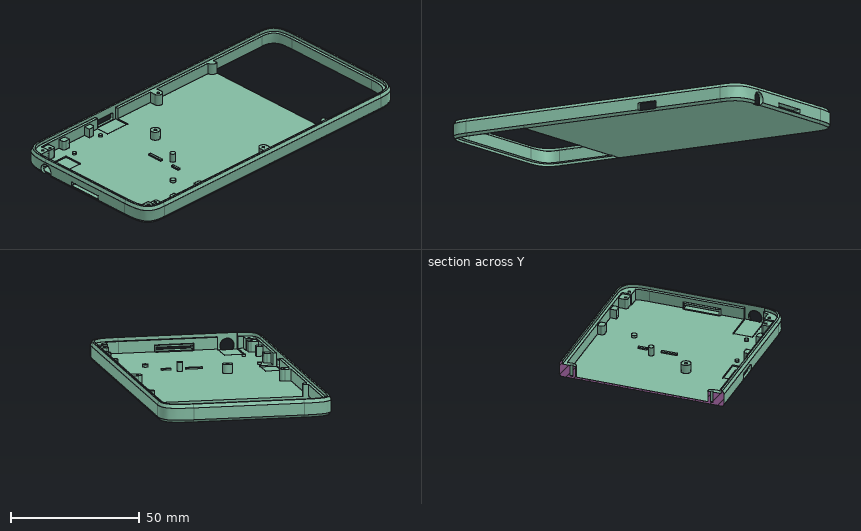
import cadquery as cq
LENGTH = 138.0
WIDTH = 69.0
HEIGHT = 7.2
TOP = HEIGHT / 2
BOTTOM = -HEIGHT / 2

CORNER_RUN_X = 12.4
CORNER_RUN_Y = 9.7
CORNER_FULLNESS = 0.78

CHAMFER_INSET = 0.7
TOP_CHAMFER_HEIGHT = 1.4
BOTTOM_CHAMFER_HEIGHT = 1.1

WALL = 2.8
LIP = 1.5
LEDGE_Z = 2.2
INNER_X = WIDTH / 2 - WALL
INNER_Y = LENGTH / 2 - WALL

FLOOR_Z = -2.5
FLOOR_EDGE_Y = 32.7
WINDOW_RIM = 0.8
POCKET_Z = -3.0

SCREW_HOLE_RADIUS = 0.48
TAB_RADIUS = 1.8
TAB_X = 29.3
END_ROUND_RADIUS = 2.2
END_ROUND_Y = 32.0
BLOCK_Z = 1.4
BLOCK_REACH = 2.6
BLOCK_WIDTH = 3.0
BLOCK_ROUND = 1.1
UPPER_BLOCK_Y = -36.3
LOWER_BLOCK_Y = -50.2

STEP_UPPER_X = 28.0
STEP_LOWER_X = 27.6
STEP_TOP_Y = -57.5
STEP_SPLIT_Y = -61.4
STEP_ROUND = 0.8
STEP_HOLE_X = 29.3
STEP_HOLE_YS = (-59.2, -63.0)
STEP_Z = 1.7

STANDOFF = (-11.0, -19.5, 2.0, 1.1)
STANDOFF_HOLE_RADIUS = 0.5
POSTS = (
    (6.3, -27.0, 1.1, 1.1),
    (17.7, -38.1, 1.1, -1.5),
    (-26.9, -33.8, 0.76, -1.8),
    (-24.4, -50.6, 0.76, -1.8),
)

RIBS = ((-3.3, 3.3), (9.2, 13.0))
RIB_Y = -30.2
RIB_WIDTH = 1.0
RIB_Z = -2.0

JACK_X = -21.5
JACK_Z = -1.4
JACK_RADIUS = 2.8
JACK_POCKET_X = (-25.5, -17.4)
JACK_POCKET_END_Y = -54.1

PORT_Y = (-29.4, -21.0)
PORT_Z = (-2.8, 0.3)
PORT_ROUND = 0.7
PORT_POCKET_Y = (-30.6, -19.6)
PORT_POCKET_END_X = -26.2

SLOT_X = (-7.3, 7.3)
SLOT_Z = (-2.1, -0.5)
COLLAR_HALF_WIDTH = 7.9
COLLAR_Y = -65.1
COLLAR_ROUND = 1.0
COLLAR_Z = 0.3


def outline(inset, z):
    """Rounded-rectangle outline, moved in from the outer side by inset."""
    x = WIDTH / 2 - inset
    y = LENGTH / 2 - inset
    straight_x = WIDTH / 2 - CORNER_RUN_X
    straight_y = LENGTH / 2 - CORNER_RUN_Y
    handle_x = straight_x + CORNER_FULLNESS * (x - straight_x)
    handle_y = straight_y + CORNER_FULLNESS * (y - straight_y)
    return (
        cq.Workplane("XY", origin=(0, 0, z))
        .moveTo(-straight_x, y)
        .lineTo(straight_x, y)
        .bezier([(straight_x, y), (handle_x, y), (x, handle_y), (x, straight_y)])
        .lineTo(x, -straight_y)
        .bezier([(x, -straight_y), (x, -handle_y), (handle_x, -y), (straight_x, -y)])
        .lineTo(-straight_x, -y)
        .bezier([(-straight_x, -y), (-handle_x, -y), (-x, -handle_y), (-x, -straight_y)])
        .lineTo(-x, straight_y)
        .bezier([(-x, straight_y), (-x, handle_y), (-handle_x, y), (-straight_x, y)])
        .close()
    )


def prism(inset, z_low, z_high):
    return outline(inset, z_low).extrude(z_high - z_low)


def tapered(inset_low, z_low, inset_high, z_high):
    wires = [outline(inset_low, z_low).wires().val(), outline(inset_high, z_high).wires().val()]
    return cq.Workplane(cq.Solid.makeLoft(wires, True))


def box(x_range, y_range, z_range):
    size = [abs(r[1] - r[0]) for r in (x_range, y_range, z_range)]
    low = [min(r) for r in (x_range, y_range, z_range)]
    return cq.Workplane("XY").box(*size, centered=False).translate(tuple(low))


def cylinder(x, y, radius, z_low, z_high):
    return cq.Workplane("XY", origin=(x, y, z_low)).circle(radius).extrude(z_high - z_low)


def both_sides(shape):
    return shape.union(shape.mirror("YZ"))


def window_recess():
    """Cut that thins the frame to a narrow rim below the floor level around the window."""
    above_edge = box((-WIDTH, WIDTH), (FLOOR_EDGE_Y, LENGTH), (BOTTOM, FLOOR_Z))
    return prism(WINDOW_RIM, BOTTOM, FLOOR_Z).intersect(above_edge)


def frame():
    bottom_edge = BOTTOM + BOTTOM_CHAMFER_HEIGHT
    top_edge = TOP - TOP_CHAMFER_HEIGHT
    body = tapered(CHAMFER_INSET, BOTTOM, 0, bottom_edge)
    body = body.union(prism(0, bottom_edge, top_edge))
    body = body.union(tapered(0, top_edge, CHAMFER_INSET, TOP))
    body = body.cut(prism(WALL, BOTTOM, TOP))
    body = body.cut(prism(LIP, LEDGE_Z, TOP))
    return body.cut(window_recess())


def floor():
    below_edge = box((-WIDTH, WIDTH), (-LENGTH, FLOOR_EDGE_Y), (BOTTOM, FLOOR_Z))
    return prism(WALL, BOTTOM, FLOOR_Z).intersect(below_edge)


def side_tabs():
    tab = cylinder(-TAB_X, 0, TAB_RADIUS, BOTTOM, LEDGE_Z)
    tab = tab.union(box((-INNER_X, -TAB_X), (-TAB_RADIUS, TAB_RADIUS), (BOTTOM, LEDGE_Z)))
    return both_sides(tab)


def end_rounds():
    post = cylinder(-INNER_X, END_ROUND_Y, END_ROUND_RADIUS, BOTTOM, LEDGE_Z)
    return both_sides(post.intersect(box((-INNER_X, 0), (0, FLOOR_EDGE_Y), (BOTTOM, TOP))))


def side_block(y, rounded_corner):
    block = box(
        (-INNER_X, -INNER_X + BLOCK_REACH),
        (y - BLOCK_WIDTH / 2, y + BLOCK_WIDTH / 2),
        (BOTTOM, BLOCK_Z),
    )
    return both_sides(block.edges("|Z").edges(rounded_corner).fillet(BLOCK_ROUND))


def corner_bosses():
    upper = box((-INNER_X, -STEP_UPPER_X), (STEP_SPLIT_Y, STEP_TOP_Y), (BOTTOM, STEP_Z))
    upper = upper.edges("|Z and >X and >Y").fillet(STEP_ROUND)
    lower = box((-WIDTH, -STEP_LOWER_X), (-LENGTH, STEP_SPLIT_Y), (BOTTOM, LEDGE_Z))
    lower = lower.intersect(prism(LIP, BOTTOM, TOP))
    return both_sides(upper.union(lower))


def screw_holes():
    spots = [(-TAB_X, 0)] + [(-STEP_HOLE_X, y) for y in STEP_HOLE_YS]
    holes = cq.Workplane("XY", origin=(0, 0, FLOOR_Z)).pushPoints(spots)
    return both_sides(holes.circle(SCREW_HOLE_RADIUS).extrude(TOP - FLOOR_Z))


def posts():
    x, y, radius, top = STANDOFF
    shapes = cylinder(x, y, radius, BOTTOM, top)
    shapes = shapes.cut(cylinder(x, y, STANDOFF_HOLE_RADIUS, FLOOR_Z, top))
    for x, y, radius, top in POSTS:
        shapes = shapes.union(cylinder(x, y, radius, BOTTOM, top))
    return shapes


def ribs():
    y_range = (RIB_Y - RIB_WIDTH / 2, RIB_Y + RIB_WIDTH / 2)
    shapes = cq.Workplane("XY")
    for x_range in RIBS:
        shapes = shapes.union(box(x_range, y_range, (BOTTOM, RIB_Z)))
    return shapes


def collar():
    body = box((-COLLAR_HALF_WIDTH, COLLAR_HALF_WIDTH), (-INNER_Y, COLLAR_Y), (BOTTOM, COLLAR_Z))
    return body.edges("|Z and >Y").fillet(COLLAR_ROUND)


def jack_opening():
    """Pocket reaching up through the ledge, with a round bore through the wall left beside it."""
    lip_y = LENGTH / 2 - LIP
    pocket = box(JACK_POCKET_X, (-lip_y, JACK_POCKET_END_Y), (POCKET_Z, TOP))
    bore = cq.Workplane("XZ", origin=(JACK_X, -lip_y, JACK_Z)).circle(JACK_RADIUS).extrude(WALL)
    return pocket.union(bore)


def side_port():
    lip_x = WIDTH / 2 - LIP
    pocket = box((-lip_x, PORT_POCKET_END_X), PORT_POCKET_Y, (POCKET_Z, TOP))
    opening = box((-WIDTH, PORT_POCKET_END_X), PORT_Y, PORT_Z).edges("|X").fillet(PORT_ROUND)
    return pocket.union(opening)


def connector_slot():
    return box(SLOT_X, (-LENGTH, COLLAR_Y), SLOT_Z)


result = (
    frame()
    .union(floor())
    .union(side_tabs())
    .union(end_rounds())
    .union(side_block(UPPER_BLOCK_Y, ">X and >Y"))
    .union(side_block(LOWER_BLOCK_Y, ">X and <Y"))
    .union(corner_bosses())
    .union(posts())
    .union(ribs())
    .union(collar())
    .cut(screw_holes())
    .cut(jack_opening())
    .cut(side_port())
    .cut(connector_slot())
)